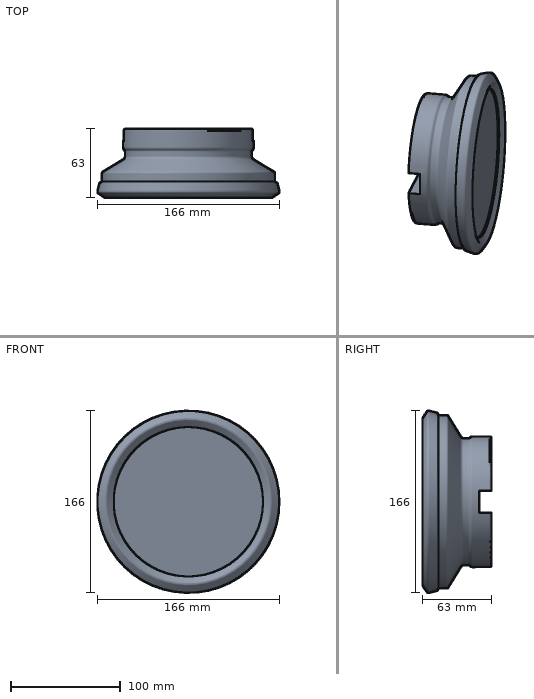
import cadquery as cq
import math

overall_length = 63.0
half_length = overall_length / 2

rim_radius = 83.0
rim_back_radius = 81.2
face_radius = 76.0
flange_radius = 158.0 / 2
neck_radius = 115.8 / 2
spigot_radius = 119.3 / 2

rim_start = 4.6
rim_slope_start = 6.5
rim_end = 13.6
flange_start = 14.8
flange_end = 23.2
neck_start = 36.0
neck_end = 42.8
spigot_start = 44.6

rim_round = 1.7
face_round = 1.7
rim_back_round = 0.7
flange_round = 2.2
neck_front_round = 3.3
neck_back_round = 2.3
spigot_front_round = 3.5
spigot_back_round = 2.0

recess_mouth_radius = 74.4
recess_floor_radius = 68.0
recess_slope_depth = 4.1
recess_wall_height = 1.5
recess_depth = recess_slope_depth + recess_wall_height
lip_round = 1.0

slot_width = 19.8
slot_depth = 11.1
slot_mouth_round = 1.2
slot_floor_round = 0.8


def round_corner(before, corner, after, radius):
    """Return the start, middle and end of an arc that rounds a corner of an outline."""
    to_before = (cq.Vector(*before) - cq.Vector(*corner)).normalized()
    to_after = (cq.Vector(*after) - cq.Vector(*corner)).normalized()
    half_angle = to_before.getAngle(to_after) / 2
    tangent_length = radius / math.tan(half_angle)
    middle_distance = radius / math.sin(half_angle) - radius
    corner_point = cq.Vector(*corner)
    start = corner_point + to_before * tangent_length
    middle = corner_point + (to_before + to_after).normalized() * middle_distance
    end = corner_point + to_after * tangent_length
    return [(point.x, point.y) for point in (start, middle, end)]


def rounded_outline(corners):
    """Draw a closed outline from (radius, distance, rounding) corners."""
    points = [corner[:2] for corner in corners]
    outline = cq.Workplane("XY").moveTo(*points[0])
    for index in range(1, len(corners)):
        rounding = corners[index][2]
        if rounding == 0:
            outline = outline.lineTo(*points[index])
            continue
        following = points[(index + 1) % len(points)]
        start, middle, end = round_corner(points[index - 1], points[index], following, rounding)
        outline = outline.lineTo(*start).threePointArc(middle, end)
    return outline.close()


def turned_body():
    corners = [
        (0, recess_depth, 0),
        (recess_floor_radius, recess_depth, 0),
        (recess_floor_radius, recess_slope_depth, 0),
        (recess_mouth_radius, 0, lip_round),
        (face_radius, 0, face_round),
        (rim_radius, rim_start, rim_round),
        (rim_radius, rim_slope_start, rim_round),
        (rim_back_radius, rim_end, rim_back_round),
        (flange_radius, flange_start, 0),
        (flange_radius, flange_end, flange_round),
        (neck_radius, neck_start, neck_front_round),
        (neck_radius, neck_end, neck_back_round),
        (spigot_radius, spigot_start, spigot_front_round),
        (spigot_radius, overall_length, spigot_back_round),
        (0, overall_length, 0),
    ]
    body = rounded_outline(corners).revolve(360, (0, 0, 0), (0, 1, 0))
    return body.translate((0, -half_length, 0))


def cross_slot():
    """Slot along X with rounded floor corners and a flared, rounded mouth."""
    half_width = slot_width / 2
    mouth_half_width = half_width + slot_mouth_round
    floor = half_length - slot_depth
    mouth_start = half_length - slot_mouth_round
    arc_offset = slot_mouth_round * (1 - math.sqrt(0.5))
    slot = (
        cq.Workplane("YZ")
        .moveTo(floor, -half_width)
        .lineTo(mouth_start, -half_width)
        .threePointArc((half_length - arc_offset, -half_width - arc_offset), (half_length, -mouth_half_width))
        .lineTo(half_length, mouth_half_width)
        .threePointArc((half_length - arc_offset, half_width + arc_offset), (mouth_start, half_width))
        .lineTo(floor, half_width)
        .close()
        .extrude(rim_radius, both=True)
    )
    return slot.faces("<Y").edges("|X").fillet(slot_floor_round)


result = turned_body().cut(cross_slot())